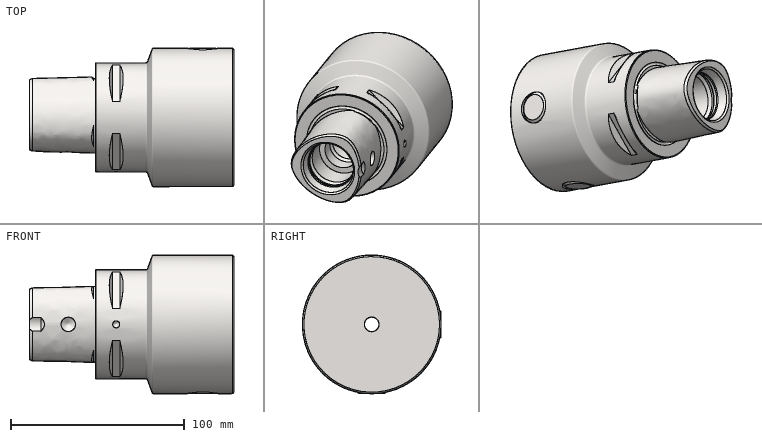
import cadquery as cq
import math


length = 118.0
head_radius = 40.0
flange_radius = 31.5

taper_end = 35.9
flange_start = 38.0
head_root = 67.8

shank_radius = 22.0
lobe_offset = 1.4
taper_slope = 1 / 40
shank_chamfer_length = 1.7
shank_chamfer_depth = 0.8
outline_point_count = 48

neck_radius = 22.4
neck_start = 37.0
ring_groove_width = 1.8

flange_chamfer = 0.5
head_cone_angle = 20.0
head_root_fillet = 1.0
head_edge_fillet = 1.0
head_end_chamfer = 1.0

mouth_chamfer = 1.1
mouth_radius = 15.1
mouth_taper_radius = 13.9
mouth_taper_end = 6.5
lip_radius = 13.5
lip_start = 7.1
lip_end = 9.0
bore_groove_radius = 15.1
bore_groove_start = 10.6
bore_groove_end = 11.9
shoulder_x = 28.3
bore_radius = 10.1
bore_end = 37.8
bore_neck_radius = 9.1
bore_neck_end = 40.1
through_radius = 4.1
through_cone_angle = 59.0

slot_x = 50.0
slot_floor_distance = 27.8
slot_floor_width = 4.1
slot_mouth_width = 8.0
slot_angles = (45, 135, 225, 315)

drill_point_angle = 59.0
shank_hole_x = 22.4
shank_hole_radius = 4.1
shank_hole_floor = 16.2
mark_hole_x = slot_x
mark_hole_radius = 2.0
mark_hole_floor = 30.3

notch_radius = 6.4
notch_axis_distance = 24.5
notch_length = 6.6
notch_point_length = 8.0

screw_x = 100.0
screw_radius = 9.1
screw_chamfer = 1.7
screw_length = 16.5
screw_inset = 0.1
screw_bottom = head_radius - screw_inset - screw_length
screw_directions = ((0, 0, -1), (0, 1, 0))


def revolve_about_x(profile):
    """Turn a closed outline of (x, radius) about the X axis."""
    return profile.close().revolve(360, (0, 0), (1, 0))


def trilobe_section(x, radius):
    """Closed three-lobed outline across the axis, with one lobe toward +Y."""
    points = []
    for index in range(outline_point_count):
        angle = 2 * math.pi * index / outline_point_count
        y = radius * math.cos(angle) + lobe_offset * (2 * math.cos(2 * angle) - math.cos(4 * angle))
        z = radius * math.sin(angle) - lobe_offset * (2 * math.sin(2 * angle) + math.sin(4 * angle))
        points.append(cq.Vector(x, y, z))
    return cq.Wire.assembleEdges([cq.Edge.makeSpline(points, periodic=True)])


def make_shank():
    """Chamfered taper, then a straight neck with its lobes turned down."""
    chamfer_radius = shank_radius - taper_slope * (taper_end - shank_chamfer_length)
    face_radius = chamfer_radius - shank_chamfer_depth
    sections = [
        trilobe_section(0, face_radius),
        trilobe_section(shank_chamfer_length, chamfer_radius),
        trilobe_section(taper_end, shank_radius),
        trilobe_section(flange_start, shank_radius),
    ]
    blank = cq.Workplane("XY").newObject([cq.Solid.makeLoft(sections, True)])
    return blank.cut(make_neck_relief())


def make_neck_relief():
    """Ring that turns the lobes down to the neck radius in front of the flange."""
    lobe_radius = shank_radius + lobe_offset
    return revolve_about_x(
        cq.Workplane("XY")
        .moveTo(taper_end, lobe_radius)
        .lineTo(taper_end, flange_radius)
        .lineTo(flange_start, flange_radius)
        .lineTo(flange_start, neck_radius)
        .lineTo(neck_start, neck_radius)
    )


def make_flange_and_head():
    cone_length = (head_radius - flange_radius) * math.tan(math.radians(head_cone_angle))
    cone_end = head_root + cone_length
    blank = revolve_about_x(
        cq.Workplane("XY")
        .moveTo(flange_start, 0)
        .lineTo(flange_start, flange_radius - flange_chamfer)
        .lineTo(flange_start + flange_chamfer, flange_radius)
        .lineTo(head_root, flange_radius)
        .lineTo(cone_end, head_radius)
        .lineTo(length - head_end_chamfer, head_radius)
        .lineTo(length, head_radius - head_end_chamfer)
        .lineTo(length, 0)
    )
    blank = blank.edges(ring_edge_at(head_root)).fillet(head_root_fillet)
    return blank.edges(ring_edge_at(cone_end)).fillet(head_edge_fillet)


def ring_edge_at(x):
    """Selector for the circular edge around the axis at the given station."""
    half_thickness = 0.1
    return cq.selectors.BoxSelector(
        (x - half_thickness, -head_radius, -head_radius),
        (x + half_thickness, head_radius, head_radius),
    )


def make_ring_groove():
    """Half-round ring groove around the neck, sunk into the flange face."""
    half_width = ring_groove_width / 2
    return revolve_about_x(
        cq.Workplane("XY")
        .moveTo(flange_start, neck_radius)
        .threePointArc(
            (flange_start + half_width, neck_radius + half_width),
            (flange_start, neck_radius + ring_groove_width),
        )
    )


def make_bore():
    cone_length = (bore_neck_radius - through_radius) / math.tan(math.radians(through_cone_angle))
    return revolve_about_x(
        cq.Workplane("XY")
        .moveTo(0, 0)
        .lineTo(0, mouth_radius + mouth_chamfer)
        .lineTo(mouth_chamfer, mouth_radius)
        .lineTo(mouth_taper_end, mouth_taper_radius)
        .lineTo(lip_start, lip_radius)
        .lineTo(lip_end, lip_radius)
        .lineTo(bore_groove_start, bore_groove_radius)
        .lineTo(bore_groove_end, bore_groove_radius)
        .lineTo(bore_groove_end + bore_groove_radius - lip_radius, lip_radius)
        .lineTo(shoulder_x, lip_radius)
        .lineTo(shoulder_x, bore_radius)
        .lineTo(bore_end, bore_radius)
        .lineTo(bore_neck_end, bore_neck_radius)
        .lineTo(bore_neck_end + cone_length, through_radius)
        .lineTo(length, through_radius)
        .lineTo(length, 0)
    )


def make_gripper_slot(angle):
    """Straight slot with sloped sides, its floor square to the given direction."""
    slope = (slot_mouth_width - slot_floor_width) / 2 / (flange_radius - slot_floor_distance)
    outer_half_width = slot_floor_width / 2 + slope * (head_radius - slot_floor_distance)
    slot = (
        cq.Workplane("XY")
        .moveTo(slot_x - slot_floor_width / 2, slot_floor_distance)
        .lineTo(slot_x - outer_half_width, head_radius)
        .lineTo(slot_x + outer_half_width, head_radius)
        .lineTo(slot_x + slot_floor_width / 2, slot_floor_distance)
        .close()
        .extrude(flange_radius, both=True)
    )
    return slot.rotate((0, 0, 0), (1, 0, 0), angle)


def make_blind_hole(x, radius, floor_distance):
    """Drilled hole from the -Y side; its straight wall ends at floor_distance from the axis."""
    point_length = radius / math.tan(math.radians(drill_point_angle))
    return (
        cq.Workplane("XY")
        .moveTo(x, -flange_radius)
        .lineTo(x + radius, -flange_radius)
        .lineTo(x + radius, -floor_distance)
        .lineTo(x, point_length - floor_distance)
        .close()
        .revolve(360, (x, 0), (x, 1))
    )


def make_notch():
    """Pointed round groove along the -Y flat of the shank."""
    return (
        cq.Workplane("XY")
        .moveTo(0, -notch_axis_distance)
        .lineTo(0, notch_radius - notch_axis_distance)
        .lineTo(notch_length, notch_radius - notch_axis_distance)
        .lineTo(notch_length + notch_point_length, -notch_axis_distance)
        .close()
        .revolve(360, (0, -notch_axis_distance), (1, -notch_axis_distance))
    )


def screw_seat(direction):
    """Workplane at the inner end of a screw, facing outward along its direction."""
    origin = cq.Vector(screw_x, 0, 0) + cq.Vector(*direction) * screw_bottom
    return cq.Workplane(cq.Plane(origin=origin, xDir=(1, 0, 0), normal=direction))


def make_screw_hole(direction):
    return screw_seat(direction).circle(screw_radius).extrude(head_radius - screw_bottom)


def make_screw(direction):
    """Clamping screw with a chamfered outer end, filling its hole to just below the surface."""
    blank = screw_seat(direction).circle(screw_radius).extrude(screw_length)
    outer_end = blank.faces(cq.selectors.DirectionMinMaxSelector(cq.Vector(*direction)))
    return outer_end.edges().chamfer(screw_chamfer)


def make_holder():
    holder = make_shank().union(make_flange_and_head())
    holder = holder.cut(make_ring_groove()).cut(make_bore()).cut(make_notch())
    for angle in slot_angles:
        holder = holder.cut(make_gripper_slot(angle))
    holder = holder.cut(make_blind_hole(shank_hole_x, shank_hole_radius, shank_hole_floor))
    holder = holder.cut(make_blind_hole(mark_hole_x, mark_hole_radius, mark_hole_floor))
    for direction in screw_directions:
        holder = holder.cut(make_screw_hole(direction))
    return holder


holder = make_holder()
screws = [make_screw(direction) for direction in screw_directions]
result = cq.Compound.makeCompound([holder.solids().val(), *(screw.val() for screw in screws)])